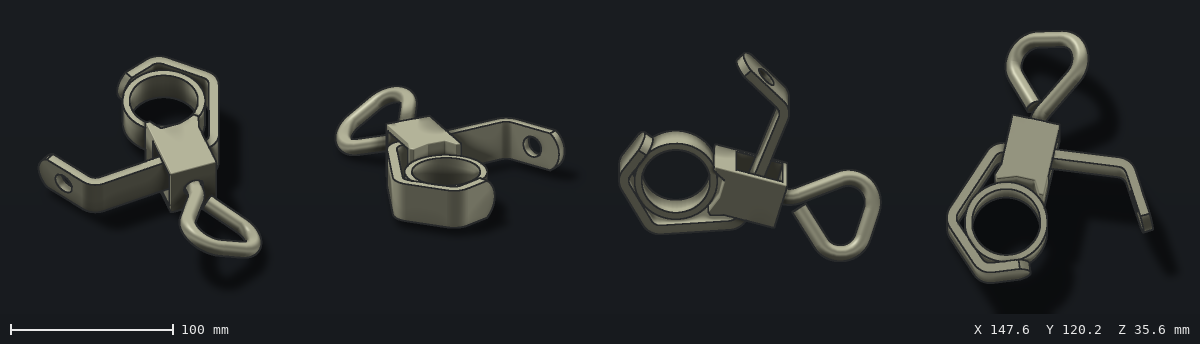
import cadquery as cq
import math


ring_radius = 25.4
ring_wall = 4.5
ring_height = 20.0

strap_thickness = 6.0
strap_width = 25.0
strap_bend_radius = 1.5 * strap_thickness
strap_turn = 65.0
strap_end_radius = 15.0
touching_distance = ring_radius + strap_thickness / 2
run_distances = [82.6, 46.3, 30.7, touching_distance, touching_distance]
foot_end = -28.8
tip_end = 11.1
foot_hole_diameter = 13.3
foot_hole_x = -8.5

housing_angle = -30.0
housing_front = 66.0
housing_width = 30.0
housing_middle = -4.5
housing_height = 35.6
housing_edge_radius = 0.9
housing_low = housing_middle - housing_width / 2
housing_high = housing_middle + housing_width / 2
jaw_floor = 27.5
jaw_floor_low = -11.8
jaw_floor_high = -0.5
low_lip_inner = (19.7, -16.1)
low_lip_outer = (19.4, housing_low)
high_lip_inner = (23.5, 11.0)
high_lip_outer = (25.9, 13.2)
high_lip_root = (33.7, housing_high)
window_back = 33.1
window_front = 62.8
window_height = 27.8
hook_hole_diameter = 12.5

rod_diameter = 10.0
rod_bend_radius = 1.5 * rod_diameter
rod_first_corner = 72.3
eye_far_corner = cq.Vector(90.5, -93.9, 21.0)
eye_near_corner = cq.Vector(114.0, -43.3, -11.2)
eye_return_corner = cq.Vector(96.4, -34.6, -11.4)
eye_end = cq.Vector(67.8, -39.6, -1.9)
eye_return_radius = 13.2

housing_plane = cq.Plane.XY().rotated((0, 0, housing_angle))


def bent_path(points, radii):
    """Wire through the points, with an arc of the given radius at every inner one."""
    edges = []
    start = points[0]
    for before, corner, after, radius in zip(points, points[1:], points[2:], radii):
        back = (before - corner).normalized()
        ahead = (after - corner).normalized()
        half_angle = back.getAngle(ahead) / 2
        tangent_length = radius / math.tan(half_angle)
        arc_start = corner + back * tangent_length
        arc_end = corner + ahead * tangent_length
        bisector = (back + ahead).normalized()
        arc_middle = corner + bisector * (radius / math.sin(half_angle) - radius)
        edges.append(cq.Edge.makeLine(start, arc_start))
        edges.append(cq.Edge.makeThreePointArc(arc_start, arc_middle, arc_end))
        start = arc_end
    edges.append(cq.Edge.makeLine(start, points[-1]))
    return cq.Workplane(cq.Wire.assembleEdges(edges))


def run_direction(index):
    angle = math.radians(index * strap_turn)
    return cq.Vector(math.cos(angle), math.sin(angle), 0)


def run_point(index, along):
    """Point on the middle of a straight run of the strap."""
    ahead = run_direction(index)
    outward = cq.Vector(ahead.y, -ahead.x, 0)
    return outward * run_distances[index] + ahead * along


def run_corner(index):
    """Point where a run of the strap meets the next one."""
    turn = math.radians(strap_turn)
    along = (run_distances[index + 1] - run_distances[index] * math.cos(turn)) / math.sin(turn)
    return run_point(index, along)


def end_waste(end, inward):
    """Material outside the rounded end of the strap."""
    half_width = strap_width / 2
    depth = strap_end_radius - math.sqrt(strap_end_radius**2 - half_width**2)
    across = inward.cross(cq.Vector(0, 0, 1))
    plane = cq.Plane(origin=end - across * strap_thickness, xDir=inward, normal=across)
    cut_height = 2 * strap_thickness
    block = cq.Workplane(plane).rect(2 * depth, 2 * strap_width).extrude(cut_height)
    disc = cq.Workplane(plane).center(strap_end_radius, 0).circle(strap_end_radius).extrude(cut_height)
    return block.cut(disc)


def along_housing(diameter, start, end):
    """Cylinder on the middle line of the housing."""
    base = housing_plane.toWorldCoords((start, housing_middle, 0))
    axis = housing_plane.xDir
    return cq.Workplane(cq.Solid.makeCylinder(diameter / 2, end - start, base, axis))


def make_ring():
    return (
        cq.Workplane("XY", origin=(0, 0, -ring_height / 2))
        .circle(ring_radius)
        .circle(ring_radius - ring_wall)
        .extrude(ring_height)
    )


def make_strap():
    last = len(run_distances) - 1
    start = run_point(0, foot_end)
    end = run_point(last, tip_end)
    corners = [run_corner(index) for index in range(last)]
    path = bent_path([start, *corners, end], [strap_bend_radius] * last)
    section = cq.Plane(origin=start, xDir=(0, 1, 0), normal=run_direction(0))
    strap = cq.Workplane(section).rect(strap_thickness, strap_width).sweep(path)
    strap = strap.cut(end_waste(start, run_direction(0)))
    strap = strap.cut(end_waste(end, run_direction(last) * -1))
    foot_hole = (
        cq.Workplane("XZ", origin=(foot_hole_x, strap_thickness - run_distances[0], 0))
        .circle(foot_hole_diameter / 2)
        .extrude(2 * strap_thickness)
    )
    rod_hole = along_housing(rod_diameter, window_back, window_front)
    return strap.cut(foot_hole).cut(rod_hole)


def make_housing():
    outline = [
        low_lip_outer,
        (housing_front, housing_low),
        (housing_front, housing_high),
        high_lip_root,
        high_lip_outer,
        high_lip_inner,
        (jaw_floor, jaw_floor_high),
        (jaw_floor, jaw_floor_low),
        low_lip_inner,
    ]
    base = cq.Workplane(housing_plane).workplane(offset=-housing_height / 2)
    block = base.polyline(outline).close().extrude(housing_height)
    block = block.edges("|Z").fillet(housing_edge_radius)
    block = block.faces("<Z or >Z").edges().fillet(housing_edge_radius)
    window = (
        cq.Workplane(housing_plane)
        .workplane(offset=-window_height / 2)
        .center((window_back + window_front) / 2, housing_middle)
        .rect(window_front - window_back, 2 * housing_width)
        .extrude(window_height)
    )
    hook_hole = along_housing(hook_hole_diameter, window_front, housing_front)
    return block.cut(window).cut(hook_hole)


def make_hook():
    start = housing_plane.toWorldCoords((window_back, housing_middle, 0))
    first_corner = housing_plane.toWorldCoords((rod_first_corner, housing_middle, 0))
    points = [start, first_corner, eye_far_corner, eye_near_corner, eye_return_corner, eye_end]
    path = bent_path(points, [rod_bend_radius] * 3 + [eye_return_radius])
    section = cq.Plane(origin=start, normal=housing_plane.xDir)
    return cq.Workplane(section).circle(rod_diameter / 2).sweep(path)


ring = make_ring()
strap = make_strap()
housing = make_housing()
hook = make_hook()

result = cq.Compound.makeCompound([ring.val(), strap.val(), housing.val(), hook.val()])